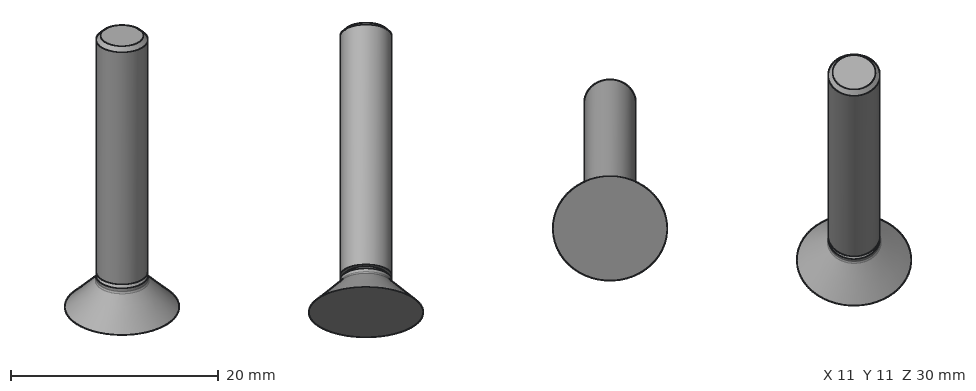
import cadquery as cq
import math

total_length = 30.0
head_radius = 11.03 / 2
thread_radius = 5.0 / 2
thread_root_radius = 4.134 / 2
neck_taper_z = 3.46
head_fillet_radius = 0.3
cone_angle = math.radians(45)

thread_depth = thread_radius - thread_root_radius
thread_start_z = neck_taper_z + thread_depth
end_chamfer_z = total_length - thread_depth

cone_top_z = (head_radius - thread_radius) / math.tan(cone_angle)

fillet_half_angle = cone_angle / 2
fillet_tangent = head_fillet_radius * math.tan(fillet_half_angle)
fillet_top_z = cone_top_z + fillet_tangent
fillet_start = (
    thread_radius + fillet_tangent * math.sin(cone_angle),
    cone_top_z - fillet_tangent * math.cos(cone_angle),
)
fillet_middle = (
    thread_radius + head_fillet_radius * (1 - math.cos(fillet_half_angle)),
    fillet_top_z - head_fillet_radius * math.sin(fillet_half_angle),
)


def screw_profile():
    """Half section in the XZ plane: radius along X, height along Z."""
    return (
        cq.Workplane("XZ")
        .moveTo(0, 0)
        .lineTo(head_radius, 0)
        .lineTo(*fillet_start)
        .threePointArc(fillet_middle, (thread_radius, fillet_top_z))
        .lineTo(thread_radius, neck_taper_z)
        .lineTo(thread_root_radius, thread_start_z)
        .lineTo(thread_radius, thread_start_z)
        .lineTo(thread_radius, end_chamfer_z)
        .lineTo(thread_root_radius, total_length)
        .lineTo(0, total_length)
        .close()
    )


result = screw_profile().revolve(360, (0, 0, 0), (0, 1, 0))